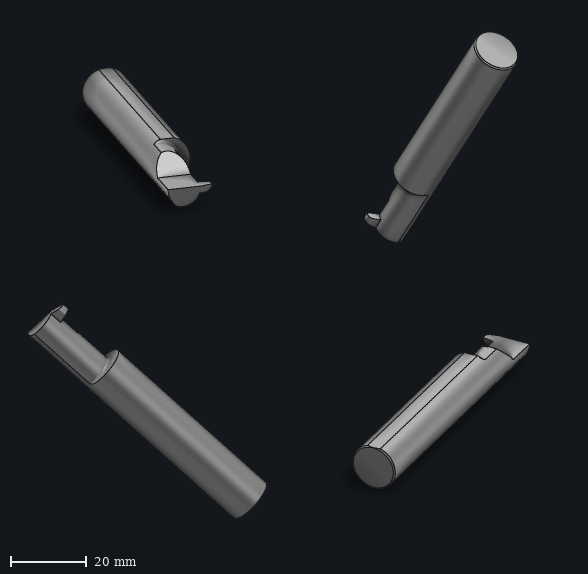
import cadquery as cq
import math

length = 76.2
shank_length = 55.1
shank_radius = 12.7 / 2
shank_flat_width = 3.8
end_chamfer = 0.4

neck_radius = 5.25
neck_side_y = 2.8
neck_center_y = neck_side_y - neck_radius
root_fillet = 0.8

face_z = 0.0
ramp_end_x = 67.0
ramp_start_x = 61.9

tooth_base_x = 72.7
tooth_tip_start_x = 73.4
tooth_tip_end_x = 75.35
tooth_tip_y = 6.1
tooth_relief_radius = 2.0


def x_cylinder(radius, start_x, end_x, center_y=0.0):
    """Round bar parallel to X."""
    section = cq.Workplane("YZ", origin=(start_x, center_y, 0)).circle(radius)
    return section.extrude(end_x - start_x)


def make_shank():
    """Round shank with a chamfered rear end and a flat along its top."""
    flat_z = math.sqrt(shank_radius**2 - (shank_flat_width / 2) ** 2)
    shank = x_cylinder(shank_radius, 0, shank_length).faces("<X").chamfer(end_chamfer)
    above_flat = cq.Workplane("XY", origin=(0, 0, flat_z)).rect(
        2 * length, 2 * shank_radius
    ).extrude(shank_radius)
    return shank.cut(above_flat)


def make_neck():
    """Offset neck with a concave fillet where it meets the shank."""
    fillet_end_x = shank_length + root_fillet
    flare_radius = neck_radius + root_fillet
    arc_offset = root_fillet * (1 - math.sqrt(0.5))
    flare = (
        cq.Workplane("XY")
        .moveTo(shank_length, neck_center_y)
        .lineTo(shank_length, neck_center_y + flare_radius)
        .threePointArc(
            (shank_length + arc_offset, neck_side_y + arc_offset),
            (fillet_end_x, neck_side_y),
        )
        .lineTo(fillet_end_x, neck_center_y)
        .close()
        .revolve(360, (shank_length, neck_center_y, 0), (length, neck_center_y, 0))
    )
    neck = x_cylinder(neck_radius, shank_length, length, neck_center_y).union(flare)
    return neck.intersect(x_cylinder(shank_radius, 0, length))


def make_head_cutter():
    """Space above the ramp and the flat rake face."""
    return (
        cq.Workplane("XZ")
        .moveTo(ramp_start_x, neck_radius)
        .lineTo(ramp_end_x, face_z)
        .lineTo(length, face_z)
        .lineTo(length, neck_radius)
        .close()
        .extrude(shank_radius, both=True)
    )


def make_tooth():
    """Tapered tooth below the rake face, with a rounded relief under its tip."""
    plan = (
        cq.Workplane("XY", origin=(0, 0, face_z))
        .moveTo(tooth_base_x, neck_center_y)
        .lineTo(tooth_base_x, neck_side_y)
        .lineTo(tooth_tip_start_x, tooth_tip_y)
        .lineTo(tooth_tip_end_x, tooth_tip_y)
        .lineTo(length, neck_side_y)
        .lineTo(length, neck_center_y)
        .close()
        .extrude(-tooth_relief_radius)
    )
    relief_center_y = tooth_tip_y - tooth_relief_radius
    profile = (
        cq.Workplane("YZ", origin=(tooth_base_x, 0, 0))
        .moveTo(neck_center_y, face_z)
        .lineTo(tooth_tip_y, face_z)
        .radiusArc((relief_center_y, face_z - tooth_relief_radius), tooth_relief_radius)
        .lineTo(neck_center_y, face_z - tooth_relief_radius)
        .close()
        .extrude(length - tooth_base_x)
    )
    return plan.intersect(profile)


head = make_neck().cut(make_head_cutter()).union(make_tooth())
result = make_shank().union(head)